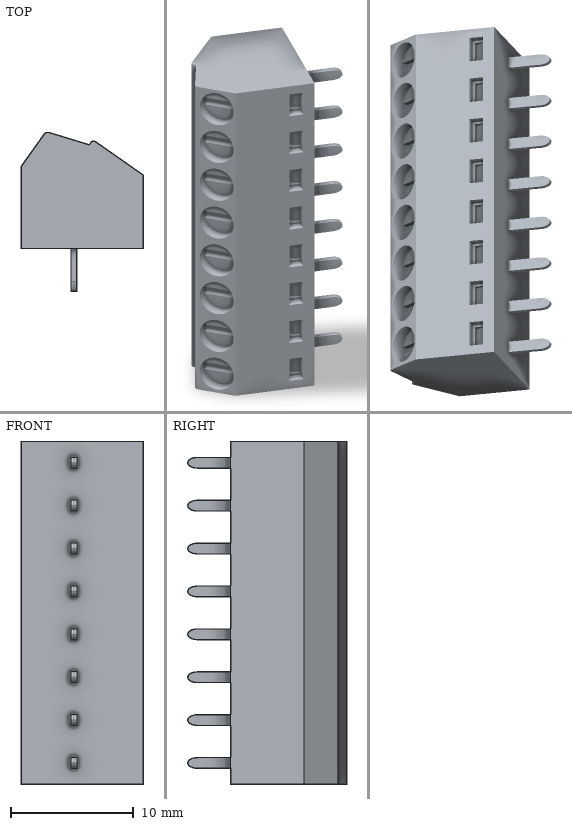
import cadquery as cq
import math

pole_count = 8
pitch = 3.5
strip_length = pole_count * pitch
body_width = 10.0
body_height = 9.5

left_wall_height = 6.7
right_wall_height = 6.0
screw_face_angle = 54.5
ridge_angle = 17.0
back_face_angle = 35.0
ridge_radius = 0.4
step_foot_x = 5.57
step_radius = 0.28

screw_diameter = 2.95
screw_height = 8.0
screw_depth = 1.0
slot_width = 0.62
slot_depth = 0.5

opening_bottom = 0.95
opening_width = 1.15
opening_length = 2.02
opening_depth = 0.8
opening_ledge = 0.2
clamp_depth = 0.2
clamp_flat_width = 0.35
clamp_fall = 0.28

pin_x = 4.3
pin_thickness = 0.48
pin_width = 0.9
pin_length = 3.5
pin_root = 0.28
pin_tip_length = 0.8


def slope(angle):
    return math.tan(math.radians(angle))


def housing():
    """Prism with a rounded ridge and a small rounded step on its +Y side."""
    screw_rad = math.radians(screw_face_angle)
    ridge_rad = math.radians(ridge_angle)
    half_turn = (screw_rad + ridge_rad) / 2
    arc_to_corner = ridge_radius / math.cos(half_turn)
    corner_tilt = (screw_rad - ridge_rad) / 2
    ridge_y = body_height - ridge_radius + arc_to_corner * math.cos(corner_tilt)
    ridge_x = (ridge_y - left_wall_height) / slope(screw_face_angle)

    step_foot_y = ridge_y - (step_foot_x - ridge_x) * slope(ridge_angle)
    back_rad = math.radians(back_face_angle)
    back_face_y = right_wall_height + (body_width - step_foot_x) * slope(back_face_angle)
    step_size = (back_face_y - step_foot_y) * math.cos(back_rad)
    step_x = step_foot_x + step_size * math.sin(back_rad)
    step_y = step_foot_y + step_size * math.cos(back_rad)

    outline = [
        (0, 0),
        (body_width, 0),
        (body_width, right_wall_height),
        (step_x, step_y),
        (step_foot_x, step_foot_y),
        (ridge_x, ridge_y),
        (0, left_wall_height),
    ]

    def long_edge(x, y):
        return cq.NearestToPointSelector((x, y, strip_length / 2))

    block = cq.Workplane("XY").polyline(outline).close().extrude(strip_length)
    block = block.edges(long_edge(ridge_x, ridge_y)).fillet(ridge_radius)
    return block.edges(long_edge(step_x, step_y)).fillet(step_radius)


def screw_recess(z):
    """Round recess square to the screw face, with a driver slot in its floor."""
    angle = math.radians(screw_face_angle)
    inward = cq.Vector(math.sin(angle), -math.cos(angle), 0)
    centre = cq.Vector((screw_height - left_wall_height) / slope(screw_face_angle), screw_height, z)
    face = cq.Workplane(cq.Plane(centre, xDir=(0, 0, 1), normal=inward))
    hole = face.circle(screw_diameter / 2).extrude(screw_depth)
    deep_hole = face.circle(screw_diameter / 2).extrude(screw_depth + slot_depth)
    slot_slab = face.rect(slot_width, screw_diameter).extrude(screw_depth + slot_depth)
    return hole.union(deep_hole.intersect(slot_slab))


def wire_opening(z):
    """Rectangular opening with a ledge around a deeper pocket with a sloping floor."""
    top = opening_bottom + opening_width
    mouth = (
        cq.Workplane("XY", origin=(0, opening_bottom, z))
        .box(opening_depth, opening_width, opening_length, centered=(False, False, True))
    )
    floor_x = opening_depth + clamp_depth
    pocket_length = opening_length - 2 * opening_ledge
    pocket = (
        cq.Workplane("XY", origin=(0, 0, z))
        .moveTo(0, opening_bottom)
        .lineTo(floor_x, opening_bottom)
        .lineTo(floor_x, opening_bottom + clamp_flat_width)
        .lineTo(floor_x + clamp_fall, top - opening_ledge)
        .lineTo(0, top - opening_ledge)
        .close()
        .extrude(pocket_length / 2, both=True)
    )
    return mouth.union(pocket)


def solder_pin(z):
    """Flat pin with a half-elliptical tip."""
    half = pin_width / 2
    shoulder_y = -pin_length + pin_tip_length
    return (
        cq.Workplane("YZ", origin=(pin_x, 0, z))
        .moveTo(pin_root, 0)
        .lineTo(pin_root, -half)
        .lineTo(shoulder_y, -half)
        .ellipseArc(pin_tip_length, half, 180, 270, startAtCurrent=True, sense=-1)
        .mirrorX()
        .extrude(pin_thickness / 2, both=True)
    )


result = housing()
for pole in range(pole_count):
    z = (pole + 0.5) * pitch
    result = result.cut(screw_recess(z)).cut(wire_opening(z)).union(solder_pin(z))